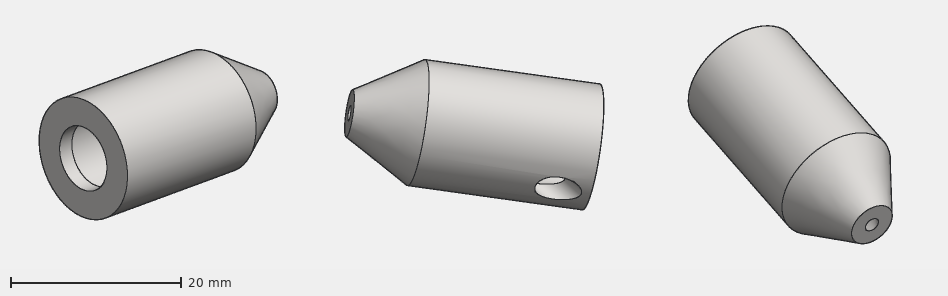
import cadquery as cq
import math

length = 29.0
body_diameter = 15.0
body_radius = body_diameter / 2
nose_length = 8.0
shoulder = length - nose_length
tip_radius = 2.8

mouth_radius = 4.0
mouth_depth = 2.0
chamber_radius = 5.5
funnel_ring_radius = 3.4
funnel_ring_depth = 24.65
outlet_radius = 0.9

port_radius = 1.97
port_offset = 3.92
port_angle = 45.0


def make_body():
    """Cylinder with a conical nose and a chambered bore, revolved about Y."""
    return (
        cq.Workplane("ZY")
        .moveTo(mouth_radius, 0)
        .lineTo(body_radius, 0)
        .lineTo(body_radius, shoulder)
        .lineTo(tip_radius, length)
        .lineTo(outlet_radius, length)
        .lineTo(funnel_ring_radius, funnel_ring_depth)
        .lineTo(chamber_radius, shoulder)
        .lineTo(chamber_radius, mouth_depth)
        .lineTo(mouth_radius, mouth_depth)
        .close()
        .revolve(360, (0, 0, 0), (0, 1, 0))
    )


def make_port():
    """Round cutter leaning towards the nose, from below the body up to the bore axis."""
    angle = math.radians(port_angle)
    inward = cq.Vector(0, math.sin(angle), math.cos(angle))
    opening = cq.Vector(0, port_offset, -body_radius)
    overshoot = 2 * port_radius
    reach = body_radius / math.cos(angle)
    start = opening - inward * overshoot
    return cq.Solid.makeCylinder(port_radius, overshoot + reach, start, inward)


result = make_body().cut(cq.Workplane(make_port()))